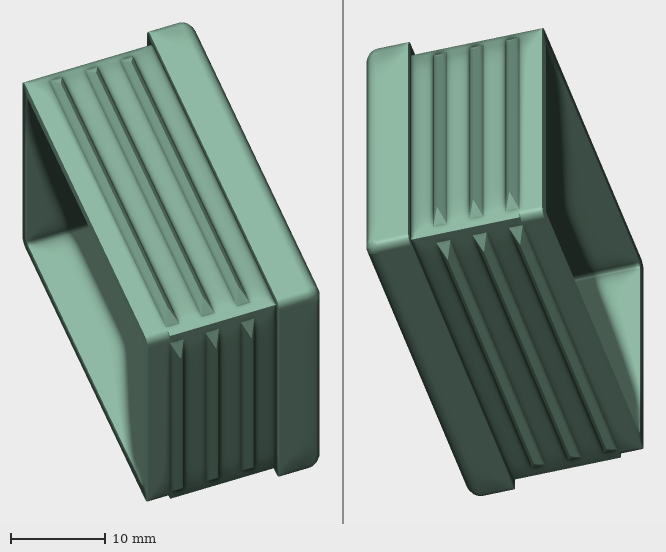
import cadquery as cq


cap_width = 39.9
cap_height = 29.95
cap_thickness = 5.0
corner_radius = 1.0
cap_edge_radius = 1.5

total_depth = 19.5
cap_overhang = 1.0
body_width = cap_width - 2 * cap_overhang
body_height = cap_height - 2 * cap_overhang
body_depth = total_depth - cap_thickness
mouth_corner_length = 2.5

wall = 1.4
cavity_depth = 16.5
cavity_corner_radius = 0.5

outer_width = 40.35
outer_height = 30.35
rib_base = 1.55
rib_pitch = 4.0
rib_count = 3
first_rib_y = 3.25
rib_corner_gap = 1.2
rib_end_slope = 1.65
rib_sink = 0.2


def block(width, height, start_y, depth):
    """Box centred on the Y axis, running from start_y toward +Y."""
    return cq.Workplane("XY").box(width, depth, height).translate((0, start_y + depth / 2, 0))


def make_cap():
    cap = block(cap_width, cap_height, body_depth, cap_thickness)
    return cap.edges("|Y").fillet(corner_radius).faces(">Y").edges().fillet(cap_edge_radius)


def make_body():
    """Body with every corner rounded at the mouth, and only the -X +Z corner rounded behind it."""
    mouth = block(body_width, body_height, 0, mouth_corner_length)
    mouth = mouth.edges("|Y").fillet(corner_radius)
    shank = block(body_width, body_height, mouth_corner_length, body_depth - mouth_corner_length)
    shank = shank.edges("|Y and <X and >Z").fillet(corner_radius)
    return mouth.union(shank)


def make_cavity():
    cavity = block(body_width - 2 * wall, body_height - 2 * wall, 0, cavity_depth)
    return cavity.edges("|Y").fillet(cavity_corner_radius)


def make_rib(side_length, protrusion):
    """Rib along X with its base on Z = 0: a triangular ridge with sloping ends, sunk a little below."""
    base_length = side_length - 2 * rib_corner_gap
    crest_length = base_length - 2 * rib_end_slope
    half_base = rib_base / 2
    ridge = (
        cq.Workplane("YZ", origin=(-base_length / 2, 0, 0))
        .moveTo(-half_base, -rib_sink)
        .lineTo(half_base, -rib_sink)
        .lineTo(half_base, 0)
        .lineTo(0, protrusion)
        .lineTo(-half_base, 0)
        .close()
        .extrude(base_length)
    )
    sloped_ends = (
        cq.Workplane("XZ", origin=(0, half_base, 0))
        .moveTo(-base_length / 2, -rib_sink)
        .lineTo(base_length / 2, -rib_sink)
        .lineTo(base_length / 2, 0)
        .lineTo(crest_length / 2, protrusion)
        .lineTo(-crest_length / 2, protrusion)
        .lineTo(-base_length / 2, 0)
        .close()
        .extrude(rib_base)
    )
    return ridge.intersect(sloped_ends)


def add_ribs(part):
    """Join equal ribs to the +Z and +X sides and, by a half turn, to the -Z and -X sides."""
    flat_rib = make_rib(body_width, (outer_height - body_height) / 2)
    upright_rib = make_rib(body_height, (outer_width - body_width) / 2)
    flat_rib = flat_rib.translate((0, 0, body_height / 2))
    upright_rib = upright_rib.rotate((0, 0, 0), (0, 1, 0), 90).translate((body_width / 2, 0, 0))
    for index in range(rib_count):
        rib_y = first_rib_y + index * rib_pitch
        for half_turn in (0, 180):
            for rib in (flat_rib, upright_rib):
                placed_rib = rib.rotate((0, 0, 0), (0, 1, 0), half_turn).translate((0, rib_y, 0))
                part = part.union(placed_rib)
    return part


result = add_ribs(make_cap().union(make_body()).cut(make_cavity()))